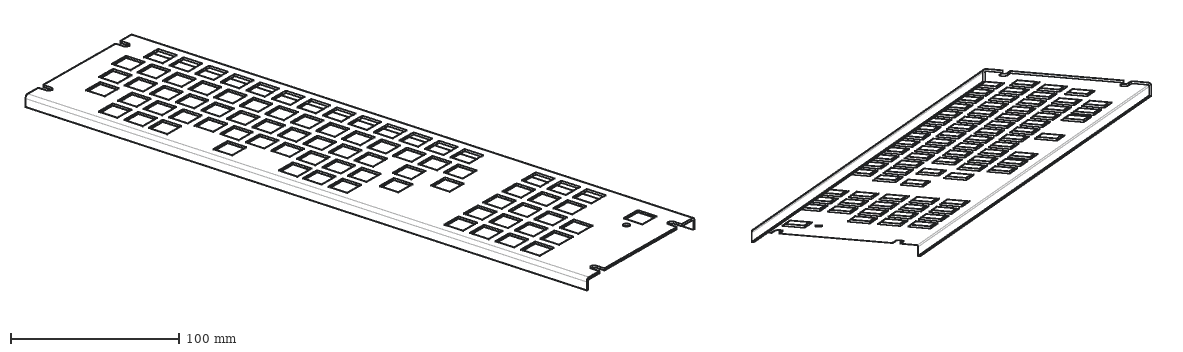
import cadquery as cq

length = 418.68
width = 106.28
height = 8.04

sheet = 1.5
bend_inner_radius = 0.75
bend_outer_radius = bend_inner_radius + sheet

key_unit = 19.05
key_cutout = 14.0
row_ys = [step * key_unit for step in (2, 1, 0, -1, -2)]
front_row_y = row_ys[-1]

first_column_x = -187.238

left_support_x = -116.63
right_support_x = -19.52

pad_first_x = 104.03
pad_row_lengths = [3, 3, 4, 4, 4]

single_cutout_x = 183.8
single_cutout_y = 33.2
round_hole_diameter = 4.2
round_hole_y = 19.8

slot_width = 4.8
slot_depth = 8.2
slot_y = 2 * key_unit


def folded_sheet():
    """Flat plate with a flange folded down along each long side."""
    outer = (
        cq.Workplane("XY")
        .box(length, width, height)
        .edges("|X and >Z")
        .fillet(bend_outer_radius)
    )
    inner = (
        cq.Workplane("XY")
        .box(length, width - 2 * sheet, height)
        .edges("|X and >Z")
        .fillet(bend_inner_radius)
        .translate((0, 0, -sheet))
    )
    return outer.cut(inner)


def run(first_column, count):
    """Column positions of a run of adjacent keys."""
    return [first_column + step for step in range(count)]


def main_block_centres():
    """Centres of the main-block cutouts, row by row from the back."""
    columns_by_row = [
        run(0.5, 13),
        run(0, 14),
        run(0.25, 11) + [11.75, 13.25],
        [0.5] + run(1.75, 10) + [12],
        run(1.75, 2) + [6.25] + run(9.75, 2),
    ]
    centres = []
    for y, columns in zip(row_ys, columns_by_row):
        centres += [(first_column_x + column * key_unit, y) for column in columns]
    return centres


def space_bar_support_centres():
    return [(x, front_row_y) for x in (left_support_x, right_support_x)]


def pad_centres():
    """Centres of the number-pad cutouts; the two back rows are one key shorter."""
    centres = []
    for y, row_length in zip(row_ys, pad_row_lengths):
        centres += [(pad_first_x + column * key_unit, y) for column in range(row_length)]
    return centres


def square_cutouts():
    centres = main_block_centres() + space_bar_support_centres() + pad_centres()
    centres.append((single_cutout_x, single_cutout_y))
    return cq.Workplane("XY").pushPoints(centres).rect(key_cutout, key_cutout).extrude(height)


def round_hole():
    return (
        cq.Workplane("XY")
        .center(single_cutout_x, round_hole_y)
        .circle(round_hole_diameter / 2)
        .extrude(height)
    )


def mounting_slots():
    """Slots centred on the short ends, so that half of each one lies in the plate."""
    centres = [(x, y) for x in (-length / 2, length / 2) for y in (-slot_y, slot_y)]
    return cq.Workplane("XY").pushPoints(centres).slot2D(2 * slot_depth, slot_width).extrude(height)


result = folded_sheet().cut(square_cutouts()).cut(round_hole()).cut(mounting_slots())